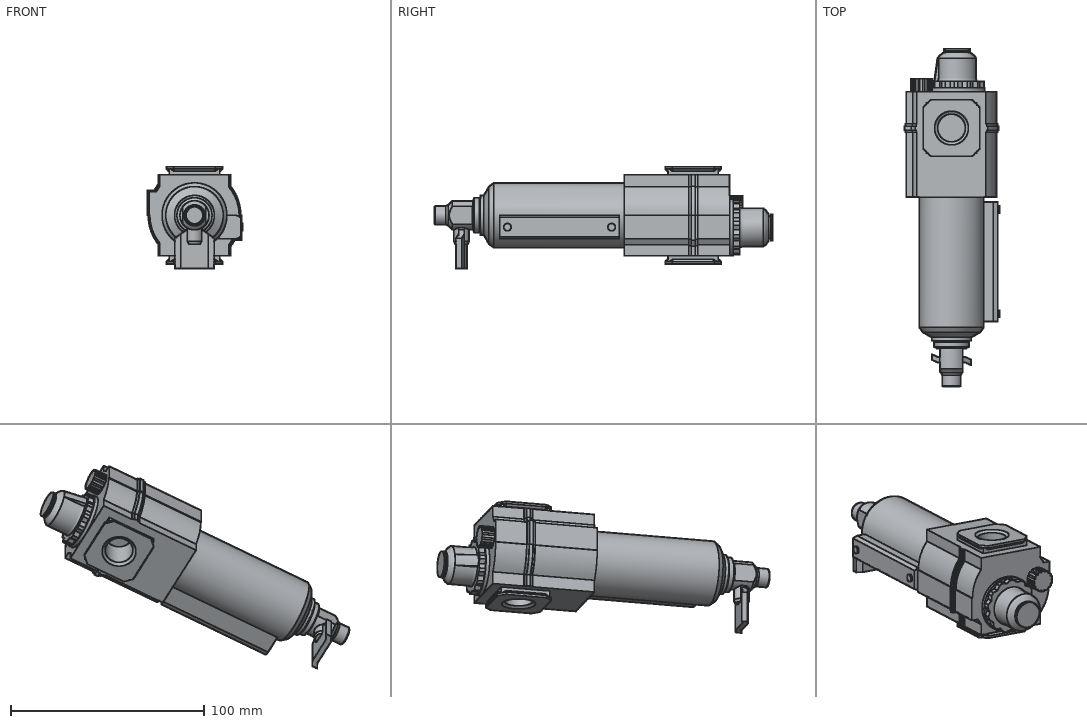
import cadquery as cq
import math


HEAD_BACK = 18.9
HEAD_FRONT = -35.7
HEAD_HALF_HEIGHT = 21.0
FLAT_HALF_WIDTH = 17.9
SHOULDER_HALF_WIDTH = 23.5
SHOULDER_HEIGHT = 12.0
ARC_RADIUS = 23.1
SHOULDER_SLOPE_WIDTH = 2.1
SHOULDER_SLOPE_HEIGHT = 3.2
BEAD_HEIGHT = 0.9
BEAD_BASE_HALF = 2.3
BEAD_CREST_HALF = 1.0

PLATE_SIZE = 29.0
PLATE_CORNER = 3.7
PLATE_TOP = 25.2
PLATE_THICKNESS = 2.5
PLATE_UNDER_CHAMFER = 1.2
PORT_NECK_SIZE = 26.3
PORT_RADIUS = 7.2
PORT_COUNTERSINK_RADIUS = 8.8
PORT_COUNTERSINK_DEPTH = 1.2
PORT_DEPTH = 17.5

BOWL_RADIUS = 16.8
BOWL_CYLINDER_END = -103.1
BOWL_SHOULDER_RADIUS = 14.9
BOWL_SHOULDER_END = -105.8
BOWL_END = -108.4

GAUGE_BACK = -38.2
GAUGE_FRONT = -100.2
GAUGE_TOP = 0.0
GAUGE_BOTTOM = -12.3
GAUGE_CHAMFER_X = 21.5
GAUGE_OUTER_X = 24.0
GAUGE_CHAMFER_DROP = 1.0
SCREW_RADIUS = 2.0
SCREW_TOP_X = 24.9
SCREW_INSET = 4.0

FLANGE_RADIUS = 10.3
FLANGE_END = -110.1
GROOVE_RADIUS = 8.5
GROOVE_END = -110.8
COLLAR_RADIUS = 9.1
COLLAR_END = -113.3
VALVE_RADIUS = 7.5
COLLAR_TAPER_END = -114.0
VALVE_FLAT_START = -114.3
VALVE_END = -126.8
VALVE_CHAMFER = 2.1
VALVE_FLAT_HALF_WIDTH = 6.0
NOZZLE_RADIUS = 4.9
NOZZLE_TAPER_END = -128.0
NOZZLE_END = -134.0
NOZZLE_CHAMFER = 0.5
STEM_Y = -120.0
STEM_RADIUS = 4.0
STEM_BOTTOM = -14.9
STEM_CHAMFER_HEIGHT = 1.5
STEM_CHAMFER_WIDTH = 0.7

LEVER_HALF_WIDTH = 10.2
LEVER_BEND_X = 7.2
LEVER_THICKNESS = 3.0
LEVER_WING_OFFSET = 1.4
LEVER_BOTTOM = -27.7
LEVER_SHOULDER_Z = -11.9
LEVER_NECK_HALF_WIDTH = 4.0
LEVER_NECK_Z = -7.4

DOME_X = 2.8
DOME_Z = -6.3
DOME_BASE_RADIUS = 14.5
DOME_BASE_END = 20.8
DOME_RING_RADIUS = 14.2
DOME_RING_END = 24.2
DOME_NOTCH_COUNT = 13
DOME_NOTCH_DEPTH = 1.0
DOME_NOTCH_SPAN = 20
DOME_FIRST_NOTCH_ANGLE = 78
DOME_FOOT_RADIUS = 10.3
DOME_RADIUS = 10.0
DOME_FOOT_END = 25.5
DOME_CYLINDER_END = 36.2
DOME_EDGE_RADIUS = 9.1
DOME_CONE_START = 37.5
DOME_CONE_END = 39.2
DOME_NECK_RADIUS = 6.0
DOME_NECK_END = 40.1
DOME_CAP_RADIUS = 6.8
DOME_END = 41.1
FIN_HALF_WIDTH = 3.0
FIN_FOOT_REACH = 11.9
FIN_TOP_REACH = 10.2

KNOB_X = -15.5
KNOB_Z = 4.5
KNOB_RADIUS = 5.6
KNOB_END = 25.5
KNOB_FLUTE_COUNT = 14
KNOB_FLUTE_RADIUS = 0.5


def workplane_facing_back(y):
    """Plane across Y with local x = +X, local y = +Z; extrusion goes toward -Y."""
    return cq.Workplane("XZ", origin=(0, y, 0))


def revolve_about_y(points, x=0, z=0):
    """Revolve a closed (radius, y) outline about the line parallel to Y through x, z."""
    outline = cq.Workplane("XY", origin=(x, 0, z)).polyline(points).close()
    return outline.revolve(360, (0, 0, 0), (0, 1, 0))


def head_section(y, grow):
    """Head section with everything but its top and bottom moved outward by grow.

    The outline of the right half, turned half a revolution, gives the left half.
    """
    flat = FLAT_HALF_WIDTH + grow
    shoulder = SHOULDER_HALF_WIDTH + grow
    step = SHOULDER_HEIGHT + grow
    radius = ARC_RADIUS + grow
    arc_end_angle = math.acos(flat / radius)
    arc_mid = (radius * math.cos(arc_end_angle / 2), radius * math.sin(arc_end_angle / 2))
    outline = workplane_facing_back(y).moveTo(-flat, HEAD_HALF_HEIGHT)
    for side in (1, -1):
        outline = (
            outline.lineTo(side * flat, side * HEAD_HALF_HEIGHT)
            .lineTo(side * flat, side * radius * math.sin(arc_end_angle))
            .threePointArc((side * arc_mid[0], side * arc_mid[1]), (side * radius, 0))
            .lineTo(side * shoulder, 0)
            .lineTo(side * shoulder, -side * step)
            .lineTo(side * (flat + SHOULDER_SLOPE_WIDTH), -side * step)
            .lineTo(side * flat, -side * (step + SHOULDER_SLOPE_HEIGHT))
            .lineTo(side * flat, -side * HEAD_HALF_HEIGHT)
        )
    return outline.close()


def bead():
    crest = head_section(BEAD_CREST_HALF, BEAD_HEIGHT).extrude(2 * BEAD_CREST_HALF)
    foot = head_section(BEAD_BASE_HALF, BEAD_HEIGHT / 2).extrude(2 * BEAD_BASE_HALF)
    return crest.union(foot)


def port_plate():
    """Square plate with cut corners on a narrower square neck, above the top of the head."""
    neck_bottom = HEAD_HALF_HEIGHT - 1.8
    plate_bottom = PLATE_TOP - PLATE_THICKNESS
    neck = (
        cq.Workplane("XY", origin=(0, 0, neck_bottom))
        .rect(PORT_NECK_SIZE, PORT_NECK_SIZE)
        .extrude(plate_bottom + PLATE_UNDER_CHAMFER - neck_bottom)
    )
    plate = (
        cq.Workplane("XY", origin=(0, 0, plate_bottom))
        .rect(PLATE_SIZE, PLATE_SIZE)
        .extrude(PLATE_THICKNESS)
        .edges("|Z")
        .chamfer(PLATE_CORNER)
        .faces("<Z")
        .chamfer(PLATE_UNDER_CHAMFER)
    )
    return neck.union(plate)


def port_bore():
    countersink_bottom = PLATE_TOP - PORT_COUNTERSINK_DEPTH
    return (
        cq.Workplane("XZ")
        .moveTo(0, PLATE_TOP)
        .lineTo(PORT_COUNTERSINK_RADIUS, PLATE_TOP)
        .lineTo(PORT_RADIUS, countersink_bottom)
        .lineTo(PORT_RADIUS, PLATE_TOP - PORT_DEPTH)
        .lineTo(0, PLATE_TOP - PORT_DEPTH)
        .close()
        .revolve(360, (0, 0, 0), (0, 1, 0))
    )


def make_head():
    block = head_section(HEAD_BACK, 0).extrude(HEAD_BACK - HEAD_FRONT).union(bead())
    plate = port_plate()
    bore = port_bore()
    block = block.union(plate).union(plate.mirror("XY"))
    return block.cut(bore).cut(bore.mirror("XY"))


def sight_gauge():
    """Bar beside the bowl with chamfered outer edges and two screw heads."""
    bar = (
        workplane_facing_back(GAUGE_BACK)
        .moveTo(0, GAUGE_TOP)
        .lineTo(GAUGE_CHAMFER_X, GAUGE_TOP)
        .lineTo(GAUGE_OUTER_X, GAUGE_TOP - GAUGE_CHAMFER_DROP)
        .lineTo(GAUGE_OUTER_X, GAUGE_BOTTOM + GAUGE_CHAMFER_DROP)
        .lineTo(GAUGE_CHAMFER_X, GAUGE_BOTTOM)
        .lineTo(0, GAUGE_BOTTOM)
        .close()
        .extrude(GAUGE_BACK - GAUGE_FRONT)
    )
    middle_z = (GAUGE_TOP + GAUGE_BOTTOM) / 2
    screw_places = [
        (GAUGE_BACK - SCREW_INSET, middle_z),
        (GAUGE_FRONT + SCREW_INSET, middle_z),
    ]
    screws = (
        cq.Workplane("YZ", origin=(GAUGE_CHAMFER_X, 0, 0))
        .pushPoints(screw_places)
        .circle(SCREW_RADIUS)
        .extrude(SCREW_TOP_X - GAUGE_CHAMFER_X)
    )
    return bar.union(screws)


def make_bowl():
    shell = revolve_about_y([
        (0, HEAD_FRONT),
        (BOWL_RADIUS, HEAD_FRONT),
        (BOWL_RADIUS, BOWL_CYLINDER_END),
        (BOWL_SHOULDER_RADIUS, BOWL_SHOULDER_END),
        (FLANGE_RADIUS, BOWL_END),
        (0, BOWL_END),
    ])
    return shell.union(sight_gauge())


def valve_flats():
    """The two blocks outside the flats of the valve body."""
    depth = COLLAR_RADIUS - VALVE_FLAT_HALF_WIDTH
    centre = VALVE_FLAT_HALF_WIDTH + depth / 2
    return (
        workplane_facing_back(VALVE_FLAT_START)
        .pushPoints([(-centre, 0), (centre, 0)])
        .rect(depth, 2 * COLLAR_RADIUS)
        .extrude(VALVE_FLAT_START - VALVE_END)
    )


def drain_stem():
    return (
        cq.Workplane("XZ", origin=(0, STEM_Y, 0))
        .lineTo(STEM_RADIUS, 0)
        .lineTo(STEM_RADIUS, STEM_BOTTOM + STEM_CHAMFER_HEIGHT)
        .lineTo(STEM_RADIUS - STEM_CHAMFER_WIDTH, STEM_BOTTOM)
        .lineTo(0, STEM_BOTTOM)
        .close()
        .revolve(360, (0, 0, 0), (0, 1, 0))
    )


def drain_lever():
    """Flat plate whose left wing bends back and right wing bends forward."""
    back = STEM_Y + LEVER_THICKNESS / 2
    front = back - LEVER_THICKNESS
    plan = (
        cq.Workplane("XY", origin=(0, 0, LEVER_BOTTOM))
        .polyline([
            (-LEVER_HALF_WIDTH, back + LEVER_WING_OFFSET),
            (-LEVER_BEND_X, back),
            (LEVER_BEND_X, back),
            (LEVER_HALF_WIDTH, back - LEVER_WING_OFFSET),
            (LEVER_HALF_WIDTH, front - LEVER_WING_OFFSET),
            (LEVER_BEND_X, front),
            (-LEVER_BEND_X, front),
            (-LEVER_HALF_WIDTH, front + LEVER_WING_OFFSET),
        ])
        .close()
        .extrude(-LEVER_BOTTOM)
    )
    face = (
        workplane_facing_back(BOWL_END)
        .polyline([
            (-LEVER_HALF_WIDTH, LEVER_BOTTOM),
            (-LEVER_HALF_WIDTH, LEVER_SHOULDER_Z),
            (-LEVER_NECK_HALF_WIDTH, LEVER_NECK_Z),
            (-LEVER_NECK_HALF_WIDTH, 0),
            (LEVER_NECK_HALF_WIDTH, 0),
            (LEVER_NECK_HALF_WIDTH, LEVER_NECK_Z),
            (LEVER_HALF_WIDTH, LEVER_SHOULDER_Z),
            (LEVER_HALF_WIDTH, LEVER_BOTTOM),
        ])
        .close()
        .extrude(BOWL_END - NOZZLE_END)
    )
    return plan.intersect(face)


def make_drain_valve():
    body = revolve_about_y([
        (0, BOWL_END),
        (FLANGE_RADIUS, BOWL_END),
        (FLANGE_RADIUS, FLANGE_END),
        (GROOVE_RADIUS, FLANGE_END),
        (COLLAR_RADIUS, GROOVE_END),
        (COLLAR_RADIUS, COLLAR_END),
        (VALVE_RADIUS, COLLAR_TAPER_END),
        (VALVE_RADIUS, VALVE_END + VALVE_CHAMFER),
        (VALVE_RADIUS - VALVE_CHAMFER, VALVE_END),
        (NOZZLE_RADIUS, NOZZLE_TAPER_END),
        (NOZZLE_RADIUS, NOZZLE_END + NOZZLE_CHAMFER),
        (NOZZLE_RADIUS - NOZZLE_CHAMFER, NOZZLE_END),
        (0, NOZZLE_END),
    ])
    return body.cut(valve_flats()).union(drain_stem()).union(drain_lever())


def dome_notches():
    """V-shaped cutters around the ring, open toward the back."""
    half_span = math.radians(DOME_NOTCH_SPAN / 2)
    valley_radius = DOME_RING_RADIUS * math.cos(half_span) - DOME_NOTCH_DEPTH
    mouth_half_width = DOME_RING_RADIUS * math.sin(half_span)
    mouth_radius = DOME_RING_RADIUS * math.cos(half_span)
    slope = mouth_half_width / (mouth_radius - valley_radius)
    outer_radius = DOME_RING_RADIUS + DOME_NOTCH_DEPTH
    outer_half_width = slope * (outer_radius - valley_radius)
    notch = (
        cq.Workplane("XZ", origin=(DOME_X, DOME_RING_END, DOME_Z))
        .polyline([
            (valley_radius, 0),
            (outer_radius, outer_half_width),
            (outer_radius, -outer_half_width),
        ])
        .close()
        .extrude(DOME_RING_END - DOME_BASE_END)
    )
    axis_start = (DOME_X, 0, DOME_Z)
    axis_end = (DOME_X, -1, DOME_Z)
    cutters = cq.Workplane("XZ")
    for index in range(DOME_NOTCH_COUNT):
        angle = DOME_FIRST_NOTCH_ANGLE + index * 360 / DOME_NOTCH_COUNT
        cutters = cutters.add(notch.rotate(axis_start, axis_end, angle))
    return cutters.combine()


def dome_fin():
    """Rib on the -X side of the dome, with a conical outer face that narrows toward the top."""
    cone = revolve_about_y([
        (0, DOME_RING_END),
        (FIN_FOOT_REACH, DOME_RING_END),
        (FIN_TOP_REACH, DOME_CYLINDER_END),
        (0, DOME_CYLINDER_END),
    ], DOME_X, DOME_Z)
    strip = (
        cq.Workplane("XZ", origin=(DOME_X - FIN_FOOT_REACH / 2, DOME_CYLINDER_END, DOME_Z))
        .rect(FIN_FOOT_REACH, 2 * FIN_HALF_WIDTH)
        .extrude(DOME_CYLINDER_END - DOME_RING_END)
    )
    return cone.intersect(strip)


def make_sight_dome():
    body = revolve_about_y([
        (0, HEAD_BACK),
        (DOME_BASE_RADIUS, HEAD_BACK),
        (DOME_BASE_RADIUS, DOME_BASE_END),
        (DOME_RING_RADIUS, DOME_BASE_END),
        (DOME_RING_RADIUS, DOME_RING_END),
        (DOME_FOOT_RADIUS, DOME_RING_END),
        (DOME_RADIUS, DOME_FOOT_END),
        (DOME_RADIUS, DOME_CYLINDER_END),
        (DOME_EDGE_RADIUS, DOME_CONE_START),
        (DOME_CAP_RADIUS, DOME_CONE_END),
        (DOME_NECK_RADIUS, DOME_CONE_END),
        (DOME_NECK_RADIUS, DOME_NECK_END),
        (DOME_CAP_RADIUS, DOME_NECK_END),
        (DOME_CAP_RADIUS, DOME_END),
        (0, DOME_END),
    ], DOME_X, DOME_Z)
    return body.cut(dome_notches()).union(dome_fin())


def make_knob():
    barrel = workplane_facing_back(KNOB_END).center(KNOB_X, KNOB_Z).circle(KNOB_RADIUS)
    flutes = (
        workplane_facing_back(KNOB_END)
        .center(KNOB_X, KNOB_Z)
        .polarArray(KNOB_RADIUS, 0, 360, KNOB_FLUTE_COUNT)
        .circle(KNOB_FLUTE_RADIUS)
        .extrude(KNOB_END - HEAD_BACK)
    )
    return barrel.extrude(KNOB_END - HEAD_BACK).cut(flutes)


head = make_head()
bowl = make_bowl()
drain_valve = make_drain_valve()
sight_dome = make_sight_dome()
knob = make_knob()

result = cq.Compound.makeCompound([
    head.val(),
    bowl.val(),
    drain_valve.val(),
    sight_dome.val(),
    knob.val(),
])